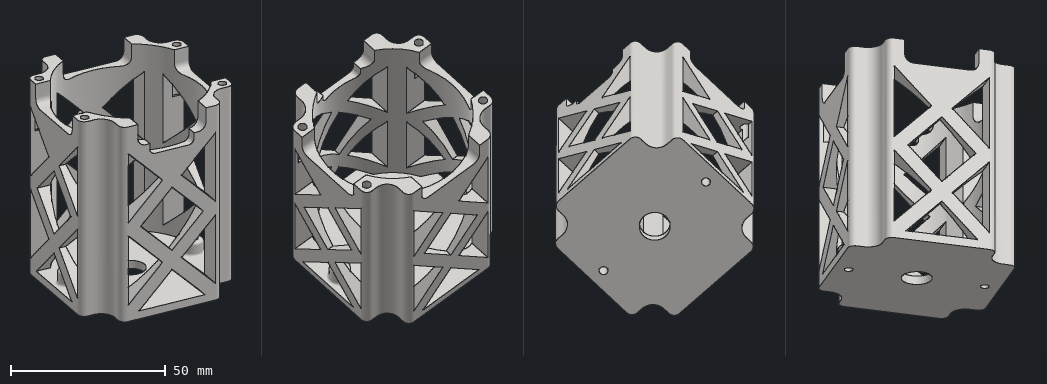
import cadquery as cq
import math

width = 56.4
height = 71.0
arm_width = 37.05
outer_radius = 2.5
corner_groove_radius = 5.0
bore_diameter = 52.0
floor_thickness = 3.0
center_hole_diameter = 10.0

bar_width = 5.0
crossing_pitch = 29.95
lower_crossing_z = 18.6

notch_width = 25.0
notch_depth = 8.0
notch_radius = 3.0
step_width = 16.2
step_depth = 4.0
step_radius = 2.0

screw_diameter = 2.85
screw_depth = 19.0
screw_x = 15.55
screw_y = 25.3

boss_diameter = 6.9
boss_height = 5.05
boss_fillet = 1.0
boss_hole_diameter = 2.85
boss_y = 23.0

half_width = width / 2
half_window = arm_width / 2 - outer_radius
half_bar_diagonal = bar_width / math.sqrt(2)
half_pitch = crossing_pitch / 2
upper_crossing_z = lower_crossing_z + crossing_pitch
notch_z = height - notch_depth


def make_arm(length_x, length_y):
    """Full-height block with rounded vertical edges."""
    return cq.Workplane("XY").rect(length_x, length_y).extrude(height).edges("|Z").fillet(outer_radius)


def make_shell():
    """Cross-shaped column with rounded inside corners, bored out above the floor."""
    column = make_arm(width, arm_width).union(make_arm(arm_width, width))
    reach = (arm_width + outer_radius) / 2
    inside_corners = cq.selectors.BoxSelector(
        (-reach, -reach, height / 2 - outer_radius),
        (reach, reach, height / 2 + outer_radius),
    )
    column = column.edges(inside_corners).fillet(corner_groove_radius)
    bore = (
        cq.Workplane("XY")
        .workplane(offset=floor_thickness)
        .circle(bore_diameter / 2)
        .extrude(height - floor_thickness)
    )
    return column.cut(bore)


def side_prism(points):
    """Prism through the -Y wall, from the middle of the part outwards."""
    return cq.Workplane("XZ").polyline(points).close().extrude(half_width)


def make_windows():
    """Five openings that leave two crossing 45 degree bars in the -Y wall."""
    diamond_z = lower_crossing_z + half_pitch
    half_diamond = half_pitch - half_bar_diagonal
    windows = side_prism([
        (-half_diamond, diamond_z),
        (0, diamond_z - half_diamond),
        (half_diamond, diamond_z),
        (0, diamond_z + half_diamond),
    ])
    apex_z = lower_crossing_z - half_bar_diagonal
    half_base = apex_z - floor_thickness
    windows = windows.union(side_prism([
        (-half_base, floor_thickness),
        (half_base, floor_thickness),
        (0, apex_z),
    ]))
    rise = half_window - half_bar_diagonal
    for crossing_z in (lower_crossing_z, upper_crossing_z):
        for side in (-1, 1):
            windows = windows.union(side_prism([
                (side * half_bar_diagonal, crossing_z),
                (side * half_window, crossing_z - rise),
                (side * half_window, crossing_z + rise),
            ]))
    return windows


def make_notch(opening, bottom_z, radius):
    """Open-topped notch in the -Y wall with rounded lower corners."""
    depth = height - bottom_z
    return (
        cq.Workplane("XY")
        .box(opening, half_width, depth, centered=(True, False, False))
        .translate((0, -half_width, bottom_z))
        .edges("|Y and <Z")
        .fillet(radius)
    )


def make_boss(y):
    """Boss with a rounded rim and a fillet at its foot, without its hole."""
    radius = boss_diameter / 2
    diagonal = boss_fillet / math.sqrt(2)
    rim_center_r = radius - boss_fillet
    top_z = floor_thickness + boss_height
    foot_z = floor_thickness + boss_fillet
    rim_z = top_z - boss_fillet
    foot_center_r = radius + boss_fillet
    return (
        cq.Workplane("XZ")
        .moveTo(0, 0)
        .lineTo(foot_center_r, 0)
        .lineTo(foot_center_r, floor_thickness)
        .threePointArc((foot_center_r - diagonal, foot_z - diagonal), (radius, foot_z))
        .lineTo(radius, rim_z)
        .threePointArc((rim_center_r + diagonal, rim_z + diagonal), (rim_center_r, top_z))
        .lineTo(0, top_z)
        .close()
        .revolve(360, (0, 0, 0), (0, 1, 0))
        .translate((0, y, 0))
    )


def make_screw_holes():
    """Four blind holes down from the top, one in each corner."""
    return (
        cq.Workplane("XY")
        .workplane(offset=height - screw_depth)
        .rect(2 * screw_x, 2 * screw_y, forConstruction=True)
        .vertices()
        .circle(screw_diameter / 2)
        .extrude(screw_depth)
    )


def make_floor_holes():
    """Central hole through the floor and the holes through both bosses."""
    center_hole = cq.Workplane("XY").circle(center_hole_diameter / 2).extrude(floor_thickness)
    boss_holes = (
        cq.Workplane("XY")
        .pushPoints([(0, -boss_y), (0, boss_y)])
        .circle(boss_hole_diameter / 2)
        .extrude(floor_thickness + boss_height)
    )
    return center_hole.union(boss_holes)


def turn(body, quarters):
    """Body rotated about Z by a number of quarter turns."""
    return body.rotate((0, 0, 0), (0, 0, 1), 90 * quarters)


result = make_shell()

side_cut = make_windows().union(make_notch(notch_width, notch_z, notch_radius))
for quarters in range(4):
    result = result.cut(turn(side_cut, quarters))

step = make_notch(step_width, notch_z - step_depth, step_radius)
result = result.cut(turn(step, 1))

result = result.cut(make_screw_holes())

for y in (-boss_y, boss_y):
    result = result.union(make_boss(y))
result = result.cut(make_floor_holes())